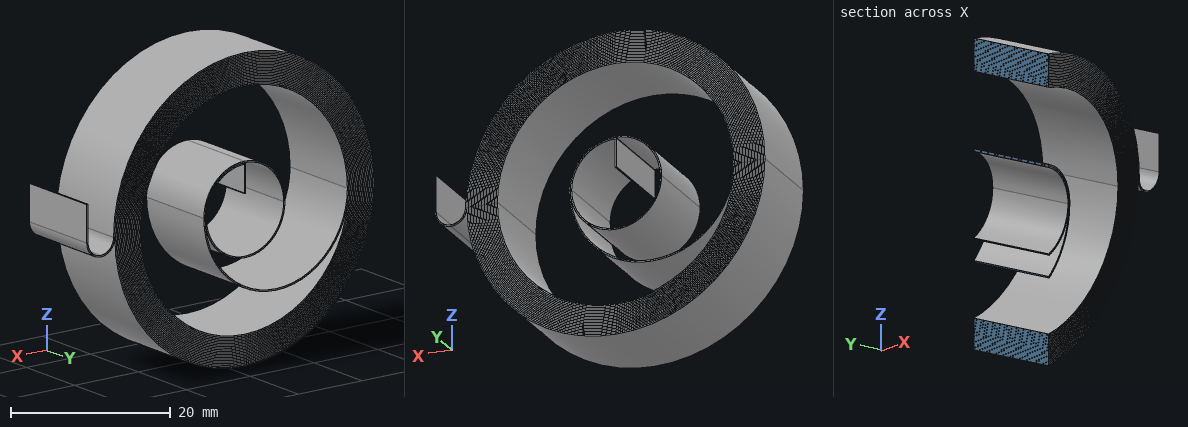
import cadquery as cq
import math


STRIP_WIDTH = 12.0
PITCH = 0.2
TURN_GAP = 0.005
THICKNESS = PITCH - TURN_GAP

LENGTH = 45.2
HEIGHT = 40.9
COIL_TURNS = 22
HOOK_LEG = 5.0

HUB_RADIUS = 6.05
TAB_LENGTH = 4.02

COIL_RADIUS = (HEIGHT + PITCH / 2) / 2
OUTER_TURN_RADIUS = COIL_RADIUS - THICKNESS / 2
INNER_TURN_RADIUS = OUTER_TURN_RADIUS - (COIL_TURNS - 1) * PITCH
HOOK_RADIUS = (LENGTH - 2 * COIL_RADIUS) / 2

QUARTER = math.pi / 2


def half_turn(start_x, end_x, start_angle, pieces=1):
    """Clockwise half circle between two points of the X axis, as (centre x, radius, start, end)."""
    center_x = (start_x + end_x) / 2
    radius = abs(end_x - start_x) / 2
    step = math.pi / pieces
    return [
        (center_x, radius, start_angle - i * step, start_angle - (i + 1) * step)
        for i in range(pieces)
    ]


def strip_centerline():
    """Clockwise arcs of the strip centreline, from the top of the hub to the end of the coil."""
    hub_outer_radius = HUB_RADIUS + PITCH
    arcs = [(0, HUB_RADIUS, QUARTER, 0)]
    arcs += half_turn(HUB_RADIUS, -hub_outer_radius, 0)
    arcs += half_turn(-hub_outer_radius, hub_outer_radius, math.pi, pieces=2)
    arcs += half_turn(hub_outer_radius, -INNER_TURN_RADIUS, 0)
    for turn in range(COIL_TURNS):
        radius = INNER_TURN_RADIUS + turn * PITCH
        arcs += half_turn(-radius, radius, math.pi)
        if turn < COIL_TURNS - 1:
            arcs += half_turn(radius, -radius - PITCH, 0)
    return arcs


def arc_point(center_x, radius, angle):
    return (center_x + radius * math.cos(angle), radius * math.sin(angle))


def add_arc(outline, center_x, radius, start, end):
    middle = arc_point(center_x, radius, (start + end) / 2)
    return outline.threePointArc(middle, arc_point(center_x, radius, end))


def add_hook(outline):
    """Hook beyond the coil: out along its lower side, over the end, back along its upper side."""
    center_x = OUTER_TURN_RADIUS + HOOK_RADIUS
    under_radius = HOOK_RADIUS + THICKNESS / 2
    upper_radius = HOOK_RADIUS - THICKNESS / 2
    outline = add_arc(outline, center_x, under_radius, -math.pi, -QUARTER)
    outline = add_arc(outline, center_x, under_radius, -QUARTER, 0)
    outline = outline.lineTo(center_x + under_radius, HOOK_LEG)
    outline = outline.lineTo(center_x + upper_radius, HOOK_LEG)
    outline = outline.lineTo(center_x + upper_radius, 0)
    outline = add_arc(outline, center_x, upper_radius, 0, -QUARTER)
    return add_arc(outline, center_x, upper_radius, -QUARTER, -math.pi)


def add_tab(outline):
    """Inner end of the strip, folded down from the top of the hub toward its centre."""
    fold_z = HUB_RADIUS - THICKNESS / 2
    tab_end_z = HUB_RADIUS + THICKNESS / 2 - TAB_LENGTH
    fold_middle = (
        THICKNESS * math.cos(1.5 * QUARTER),
        fold_z + THICKNESS * math.sin(1.5 * QUARTER),
    )
    outline = outline.threePointArc(fold_middle, (-THICKNESS, fold_z))
    return outline.lineTo(-THICKNESS, tab_end_z).lineTo(0, tab_end_z).close()


def strip_outline():
    """Closed outline of the strip seen edge-on."""
    arcs = strip_centerline()
    outline = cq.Workplane("XZ", origin=(0, STRIP_WIDTH / 2, 0))
    outline = outline.moveTo(0, HUB_RADIUS - THICKNESS / 2)
    for center_x, radius, start, end in arcs:
        outline = add_arc(outline, center_x, radius - THICKNESS / 2, start, end)
    outline = add_hook(outline)
    for center_x, radius, start, end in reversed(arcs):
        outline = add_arc(outline, center_x, radius + THICKNESS / 2, end, start)
    return add_tab(outline)


result = strip_outline().extrude(STRIP_WIDTH, clean=False)